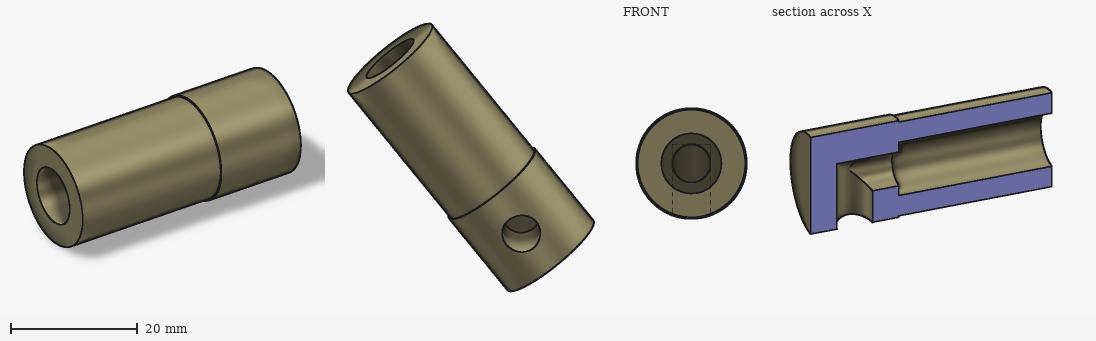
import cadquery as cq

total_length = 41.0
collar_length = 15.0
collar_diameter = 17.5
barrel_diameter = 17.0

socket_diameter = 9.5
passage_diameter = 6.0

front_y = -total_length / 2
back_y = total_length / 2
barrel_length = total_length - collar_length
socket_depth = barrel_length
port_y = back_y - collar_length / 2
collar_radius = collar_diameter / 2


def rod(diameter, start_y, end_y):
    """Round bar on the Y axis between two Y positions."""
    start_plane = cq.Plane(origin=(0, start_y, 0), xDir=(1, 0, 0), normal=(0, 1, 0))
    return cq.Workplane(start_plane).circle(diameter / 2).extrude(end_y - start_y)


def make_body():
    """Barrel with a slightly larger collar at its back end."""
    shoulder_y = front_y + barrel_length
    barrel = rod(barrel_diameter, front_y, shoulder_y)
    collar = rod(collar_diameter, shoulder_y, back_y)
    return barrel.union(collar)


def make_axial_passage():
    """Front socket narrowing to a bore that ends at the axis of the side port."""
    socket = rod(socket_diameter, front_y, front_y + socket_depth)
    bore = rod(passage_diameter, front_y, port_y)
    return socket.union(bore)


def make_side_port():
    """Vertical hole entering the collar from below, ending at the top of the axial bore."""
    return (
        cq.Workplane("XY", origin=(0, port_y, -collar_radius))
        .circle(passage_diameter / 2)
        .extrude(collar_radius + passage_diameter / 2)
    )


result = make_body().cut(make_side_port()).cut(make_axial_passage())